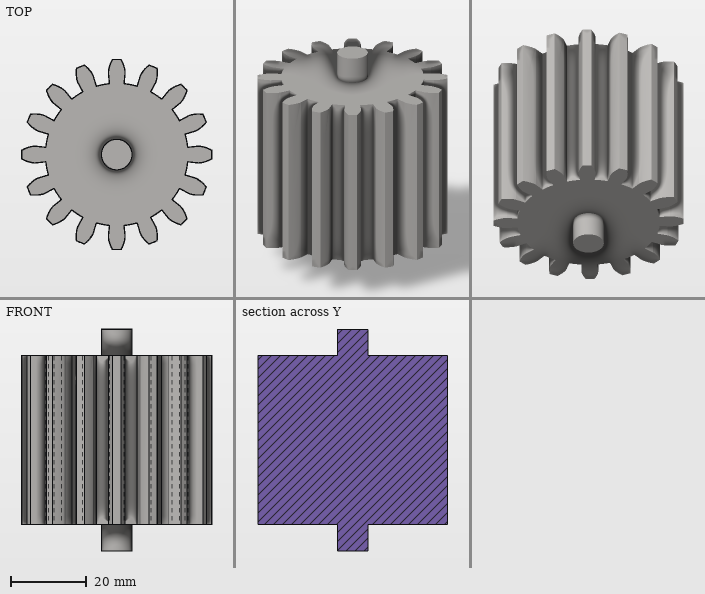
import cadquery as cq
import math

MODULE = 2.8
TOOTH_COUNT = 16
PRESSURE_ANGLE = math.radians(14.5)
TOTAL_LENGTH = 58.8
GEAR_LENGTH = 44.8
SHAFT_DIAMETER = 8.1
FLANK_POINT_COUNT = 6

ADDENDUM_FACTOR = 1.0
DEDENDUM_FACTOR = 1.25
PITCH_RADIUS = MODULE * TOOTH_COUNT / 2
TIP_RADIUS = PITCH_RADIUS + ADDENDUM_FACTOR * MODULE
ROOT_RADIUS = PITCH_RADIUS - DEDENDUM_FACTOR * MODULE
BASE_RADIUS = PITCH_RADIUS * math.cos(PRESSURE_ANGLE)
TOOTH_PITCH_ANGLE = 2 * math.pi / TOOTH_COUNT


def involute(angle):
    """Involute function: tan(angle) - angle."""
    return math.tan(angle) - angle


BASE_HALF_ANGLE = TOOTH_PITCH_ANGLE / 4 + involute(PRESSURE_ANGLE)


def polar(radius, angle):
    return (radius * math.cos(angle), radius * math.sin(angle))


def flank_half_angle(radius):
    """Angle from the tooth centreline to its involute flank."""
    return BASE_HALF_ANGLE - involute(math.acos(BASE_RADIUS / radius))


def flank_points(centre_angle, side):
    """Points along one flank from base circle to tip; side is -1 or +1."""
    radial_step = (TIP_RADIUS - BASE_RADIUS) / (FLANK_POINT_COUNT - 1)
    radii = [BASE_RADIUS + i * radial_step for i in range(FLANK_POINT_COUNT)]
    return [polar(r, centre_angle + side * flank_half_angle(r)) for r in radii]


def add_tooth(outline, centre_angle):
    """Draw one tooth counter-clockwise, then the root arc up to the next tooth."""
    rising = flank_points(centre_angle, -1)
    falling = flank_points(centre_angle, 1)[::-1]
    root_end = polar(ROOT_RADIUS, centre_angle + BASE_HALF_ANGLE)
    gap_middle = polar(ROOT_RADIUS, centre_angle + TOOTH_PITCH_ANGLE / 2)
    next_root = polar(ROOT_RADIUS, centre_angle + TOOTH_PITCH_ANGLE - BASE_HALF_ANGLE)

    outline = outline.lineTo(*rising[0])
    outline = outline.spline(rising[1:], includeCurrent=True)
    outline = outline.threePointArc(polar(TIP_RADIUS, centre_angle), falling[0])
    outline = outline.spline(falling[1:], includeCurrent=True)
    outline = outline.lineTo(*root_end)
    return outline.threePointArc(gap_middle, next_root)


def make_gear():
    """Toothed body, centred on the origin with a tooth on the +X axis."""
    outline = cq.Workplane("XY").workplane(offset=-GEAR_LENGTH / 2)
    outline = outline.moveTo(*polar(ROOT_RADIUS, -BASE_HALF_ANGLE))
    for index in range(TOOTH_COUNT):
        outline = add_tooth(outline, index * TOOTH_PITCH_ANGLE)
    return outline.close().extrude(GEAR_LENGTH)


def make_shaft():
    """Shaft running through the gear and standing out equally at both ends."""
    shaft = cq.Workplane("XY").workplane(offset=-TOTAL_LENGTH / 2)
    return shaft.circle(SHAFT_DIAMETER / 2).extrude(TOTAL_LENGTH)


result = make_gear().union(make_shaft())